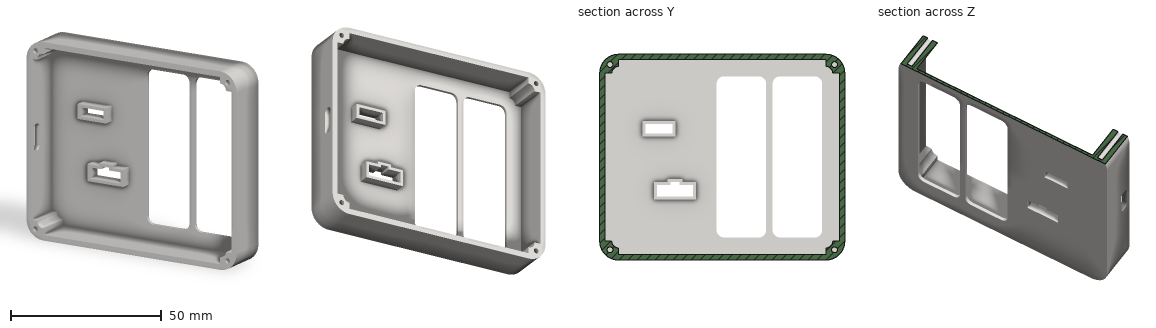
import cadquery as cq

WIDTH = 81.5
DEPTH = 14.0
HEIGHT = 68.5
CORNER_RADIUS = 6.4
WALL = 1.95
FLOOR = 1.15

POST_INSET = 4.15
SCREW_DIAMETER = 1.8
SCREW_INSET = 3.5

WINDOW_WIDTH = 16.5
WINDOW_HEIGHT = 53.5
WINDOW_RADIUS = 2.5
WINDOW_GAP = 2.1
WINDOW_PAIR_X = 15.7

SOCKET_WALL = 1.0
SOCKET_RISE = 3.9
PLAIN_SOCKET_SIZE = (9.05, 3.2)
PLAIN_SOCKET_CENTER = (-20.9, 9.3)
KEYED_SOCKET_SIZE = (12.0, 3.9)
KEYED_SOCKET_CENTER = (-15.65, -11.25)
KEY_WIDTH = 3.0
KEY_HEIGHT = 1.0

SLOT_WIDTH = 3.6
SLOT_LENGTH = 9.3
SLOT_RADIUS = 1.5
SLOT_FROM_RIM = 3.3

RIM_Y = -DEPTH / 2
BACK_Y = DEPTH / 2
FLOOR_Y = BACK_Y - FLOOR


def block(width, height, front_y, back_y, center=(0, 0)):
    """Box of the given X and Z size between two Y positions, centred at (x, z)."""
    middle = (center[0], (front_y + back_y) / 2, center[1])
    return cq.Workplane("XY").box(width, back_y - front_y, height).translate(middle)


def rounded_block(width, height, radius, front_y, back_y, center=(0, 0)):
    """Block with its four edges along Y rounded."""
    return block(width, height, front_y, back_y, center).edges("|Y").fillet(radius)


def cavity():
    """Hollow of the case; it steps inward at the corners to leave the posts."""
    inner_width = WIDTH - 2 * WALL
    inner_height = HEIGHT - 2 * WALL
    straight_width = WIDTH - 2 * CORNER_RADIUS
    straight_height = HEIGHT - 2 * CORNER_RADIUS
    core = rounded_block(
        WIDTH - 2 * POST_INSET,
        HEIGHT - 2 * POST_INSET,
        CORNER_RADIUS - POST_INSET,
        RIM_Y,
        FLOOR_Y,
    )
    across = block(inner_width, straight_height, RIM_Y, FLOOR_Y)
    upright = block(straight_width, inner_height, RIM_Y, FLOOR_Y)
    return core.union(across).union(upright)


def screw_holes():
    """Blind holes in the posts, ending level with the floor."""
    spacing_x = WIDTH - 2 * SCREW_INSET
    spacing_z = HEIGHT - 2 * SCREW_INSET
    return (
        cq.Workplane("XZ", origin=(0, RIM_Y, 0))
        .rarray(spacing_x, spacing_z, 2, 2)
        .circle(SCREW_DIAMETER / 2)
        .extrude(-(DEPTH - FLOOR))
    )


def window(side):
    """One window; side is -1 for the left one and 1 for the right one."""
    x = WINDOW_PAIR_X + side * (WINDOW_WIDTH + WINDOW_GAP) / 2
    return rounded_block(WINDOW_WIDTH, WINDOW_HEIGHT, WINDOW_RADIUS, FLOOR_Y, BACK_Y, (x, 0))


def plain_opening(margin, front_y):
    """Plain socket outline grown by margin, from front_y to the back."""
    width, height = PLAIN_SOCKET_SIZE
    return block(width + 2 * margin, height + 2 * margin, front_y, BACK_Y, PLAIN_SOCKET_CENTER)


def keyed_opening(margin, front_y):
    """Keyed socket outline grown by margin, with the key notch on its top edge."""
    width, height = KEYED_SOCKET_SIZE
    x, z = KEYED_SOCKET_CENTER
    body = block(width + 2 * margin, height + 2 * margin, front_y, BACK_Y, (x, z))
    key_center = (x, z + KEY_HEIGHT / 2)
    key = block(KEY_WIDTH + 2 * margin, height + KEY_HEIGHT + 2 * margin, front_y, BACK_Y, key_center)
    return body.union(key)


def cable_slot():
    """Rounded slot through the -X wall, close to the open rim."""
    center = (-(WIDTH - WALL) / 2, RIM_Y + SLOT_FROM_RIM, 0)
    slot = cq.Workplane("XY").box(WALL, SLOT_WIDTH, SLOT_LENGTH)
    return slot.edges("|X").fillet(SLOT_RADIUS).translate(center)


result = rounded_block(WIDTH, HEIGHT, CORNER_RADIUS, RIM_Y, BACK_Y)
result = result.cut(cavity()).cut(screw_holes()).cut(cable_slot())

for side in (-1, 1):
    result = result.cut(window(side))

for opening in (plain_opening, keyed_opening):
    result = result.union(opening(SOCKET_WALL, FLOOR_Y - SOCKET_RISE))
    result = result.cut(opening(0, FLOOR_Y - SOCKET_RISE))